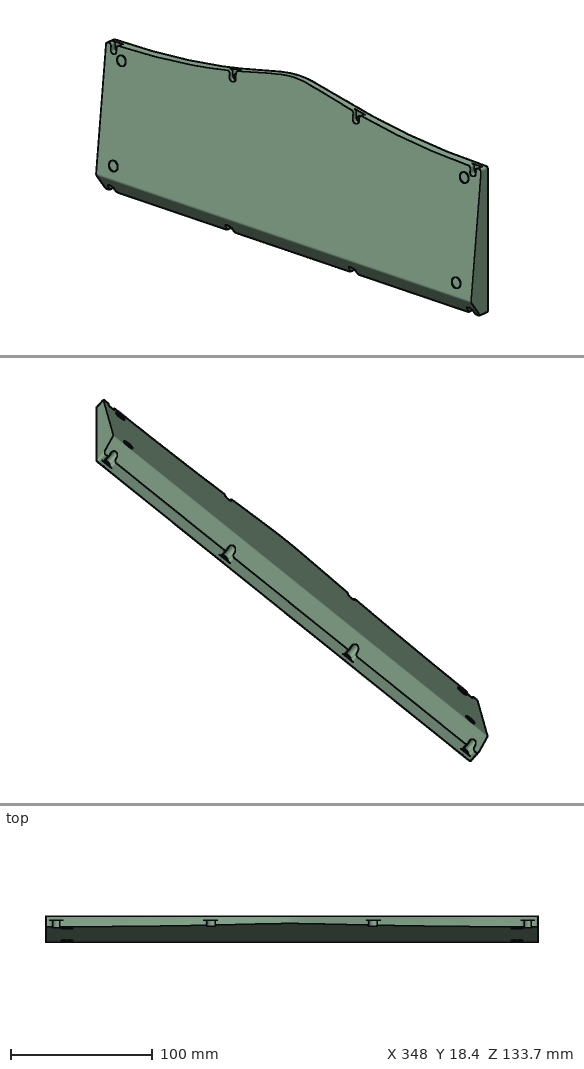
import cadquery as cq
import math

width = 347.99
depth = 18.44
height = 133.7
half_width = width / 2

bottom_depth = 7.9
top_depth = 5.1
ridge_z = 14.3
ridge_sharp_depth = 18.55
ridge_radius = 3.0
front_tilt = math.atan2(ridge_sharp_depth - top_depth, height - ridge_z)

left_shoulder_z = 113.1
right_shoulder_z = 112.9
top_curve = [
    (half_width, right_shoulder_z),
    (113.0, 115.5),
    (58.0, 123.1),
    (25.0, 130.0),
    (-0.9, height),
    (-26.0, 130.2),
    (-60.0, 122.8),
    (-115.0, 115.4),
    (-half_width, left_shoulder_z),
]
corner_radius = 2.0

screw_diameter = 3.2
outer_head_diameter = 5.2
inner_head_diameter = 5.8
head_floor = 3.0
slot_reach = 12.0
mouth_radius = 2.0
mouth_search_depth = 6.0
outer_screw_x = half_width - 7.4
inner_screw_x = 57.2
bottom_screw_z = 3.7
shoulder_screw_z = 108.6
crown_screw_z = 118.2

foot_diameter = 8.0
foot_recess = 0.5
foot_x = half_width - 15.0
foot_heights = (24.8, 103.0)


def make_wedge():
    """Side profile in YZ, extruded over the full width, with the ridge rounded."""
    profile = [
        (0, 0),
        (-bottom_depth, 0),
        (-ridge_sharp_depth, ridge_z),
        (-top_depth, height),
        (0, height),
    ]
    wedge = cq.Workplane("YZ").polyline(profile).close().extrude(half_width, both=True)
    return wedge.edges("<Y").fillet(ridge_radius)


def make_outline():
    """Front outline in XZ, extruded toward -Y, with its four corners rounded."""
    outline = (
        cq.Workplane("XZ")
        .moveTo(-half_width, 0)
        .lineTo(half_width, 0)
        .lineTo(*top_curve[0])
        .spline(top_curve[1:], includeCurrent=True)
        .close()
        .extrude(2 * depth)
    )
    return outline.edges("|Y").fillet(corner_radius)


def cut_screw(body, x, z, head_diameter, outward):
    """Cut a head slot running along Z in the outward direction (1 up, -1 down), and its hole."""
    head_radius = head_diameter / 2
    slot_end = z + outward * slot_reach
    slot = (
        cq.Workplane("XZ", origin=(0, -head_floor, 0))
        .moveTo(x - head_radius, z)
        .lineTo(x - head_radius, slot_end)
        .lineTo(x + head_radius, slot_end)
        .lineTo(x + head_radius, z)
        .threePointArc((x, z - outward * head_radius), (x - head_radius, z))
        .close()
        .extrude(depth)
    )
    body = body.cut(slot)

    margin = 0.5
    mouth = cq.selectors.BoxSelector(
        (x - head_radius - margin, -head_floor - margin, z + outward * margin),
        (x + head_radius + margin, -mouth_search_depth, slot_end),
    )
    body = body.edges(mouth).fillet(mouth_radius)

    hole = cq.Workplane("XZ").center(x, z).circle(screw_diameter / 2).extrude(depth)
    return body.cut(hole)


def cut_foot(body, x, z):
    """Sink a round foot recess square into the sloped front."""
    surface_y = -top_depth - (height - z) * math.tan(front_tilt)
    inward = cq.Vector(0, math.cos(front_tilt), -math.sin(front_tilt))
    start = cq.Vector(x, surface_y, z) - inward * foot_recess
    recess = cq.Solid.makeCylinder(foot_diameter / 2, 2 * foot_recess, start, inward)
    return body.cut(cq.Workplane(obj=recess))


result = make_wedge().intersect(make_outline())

for side in (-1, 1):
    result = cut_screw(result, side * outer_screw_x, bottom_screw_z, outer_head_diameter, -1)
    result = cut_screw(result, side * inner_screw_x, bottom_screw_z, inner_head_diameter, -1)
    result = cut_screw(result, side * outer_screw_x, shoulder_screw_z, outer_head_diameter, 1)
    result = cut_screw(result, side * inner_screw_x, crown_screw_z, inner_head_diameter, 1)
    for foot_z in foot_heights:
        result = cut_foot(result, side * foot_x, foot_z)